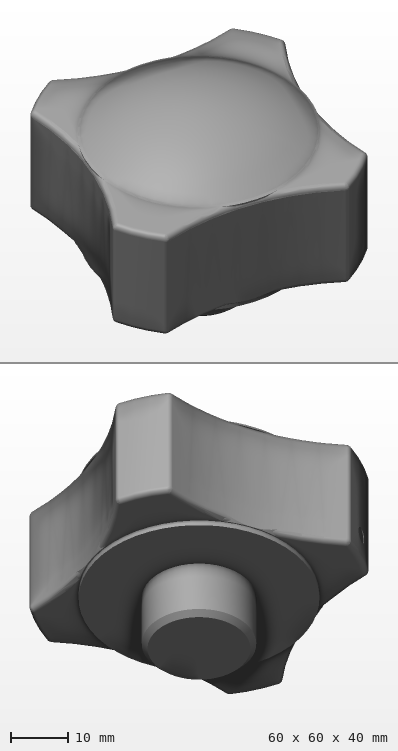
import cadquery as cq
import math

TIP_RADIUS = 30.0
FLUTE_RADIUS = 48.0
WAIST_RADIUS = 21.25
GRIP_HEIGHT = 22.0
ARM_COUNT = 4
CORNER_FILLET = 0.95
RIM_FILLET = 1.0

DOME_RADIUS = 21.0
DOME_HEIGHT = 6.0
DOME_FOOT_FILLET = 1.0
DOME_SKIRT = 0.35

FLANGE_RADIUS = 21.0
FLANGE_HEIGHT = 1.0
WAIST_FLARE = 0.9
STEM_DIAMETER = 20.0
STEM_HEIGHT = 11.0
STEM_CHAMFER = 1.0

MARK_DIAMETER = 3.0
MARK_RISE = 5.3
MARK_DEPTH = 0.2

FLANGE_BOTTOM = STEM_HEIGHT
GRIP_BOTTOM = FLANGE_BOTTOM + FLANGE_HEIGHT
GRIP_TOP = GRIP_BOTTOM + GRIP_HEIGHT
DOME_TOP = GRIP_TOP + DOME_HEIGHT


def star_prism(bottom, height):
    """Round blank with one concave flute between each pair of arms."""
    base = cq.Workplane("XY").workplane(offset=bottom)
    flutes = (
        base.polarArray(WAIST_RADIUS + FLUTE_RADIUS, 180 / ARM_COUNT, 360, ARM_COUNT)
        .circle(FLUTE_RADIUS)
        .extrude(height)
    )
    return base.circle(TIP_RADIUS).extrude(height).cut(flutes)


def grip():
    """Star prism with rounded arm corners and rounded top and bottom rims."""
    body = star_prism(GRIP_BOTTOM, GRIP_HEIGHT)
    body = body.edges("|Z").fillet(CORNER_FILLET)
    return body.faces("<Z or >Z").edges().fillet(RIM_FILLET)


def dome():
    """Spherical cap with a concave foot fillet, trimmed flush with the flutes."""
    sphere_radius = (DOME_RADIUS**2 + DOME_HEIGHT**2) / (2 * DOME_HEIGHT)
    sphere_z = DOME_TOP - sphere_radius

    fillet_z = GRIP_TOP + DOME_FOOT_FILLET
    center_distance = sphere_radius + DOME_FOOT_FILLET
    fillet_x = math.sqrt(center_distance**2 - (fillet_z - sphere_z) ** 2)
    edge_angle = math.asin(fillet_x / center_distance)

    def on_sphere(angle):
        return (sphere_radius * math.sin(angle), sphere_z + sphere_radius * math.cos(angle))

    def on_fillet(angle):
        return (
            fillet_x - DOME_FOOT_FILLET * math.sin(angle),
            fillet_z - DOME_FOOT_FILLET * math.cos(angle),
        )

    cap = (
        cq.Workplane("XZ")
        .moveTo(0, DOME_TOP)
        .threePointArc(on_sphere(edge_angle / 2), on_sphere(edge_angle))
        .threePointArc(on_fillet(edge_angle / 2), on_fillet(0))
        .lineTo(fillet_x, GRIP_TOP - DOME_SKIRT)
        .lineTo(0, GRIP_TOP - DOME_SKIRT)
        .close()
        .revolve(360, (0, 0, 0), (0, 1, 0))
    )
    return cap.intersect(star_prism(GRIP_BOTTOM, GRIP_HEIGHT + DOME_HEIGHT))


def flange():
    """Flat disc under the grip."""
    return cq.Workplane("XY").workplane(offset=FLANGE_BOTTOM).circle(FLANGE_RADIUS).extrude(FLANGE_HEIGHT)


def waist_cone():
    """Flared core that fills the bottom rim fillet where the flutes come closest to the axis."""
    cone = (
        cq.Workplane("XY")
        .workplane(offset=GRIP_BOTTOM)
        .circle(WAIST_RADIUS)
        .workplane(offset=RIM_FILLET)
        .circle(WAIST_RADIUS + WAIST_FLARE)
        .loft(ruled=True)
    )
    return cone.intersect(star_prism(GRIP_BOTTOM, RIM_FILLET))


def stem():
    """Plain round stem with a chamfered lower end."""
    shaft = cq.Workplane("XY").circle(STEM_DIAMETER / 2).extrude(GRIP_BOTTOM)
    return shaft.faces("<Z").edges().chamfer(STEM_CHAMFER)


def mark():
    """Disc-shaped recess cut into the -X arm end, along X."""
    return (
        cq.Workplane("YZ", origin=(-TIP_RADIUS, 0, GRIP_BOTTOM + MARK_RISE))
        .circle(MARK_DIAMETER / 2)
        .extrude(MARK_DEPTH)
    )


result = grip().union(dome()).union(waist_cone()).union(flange()).union(stem()).cut(mark())